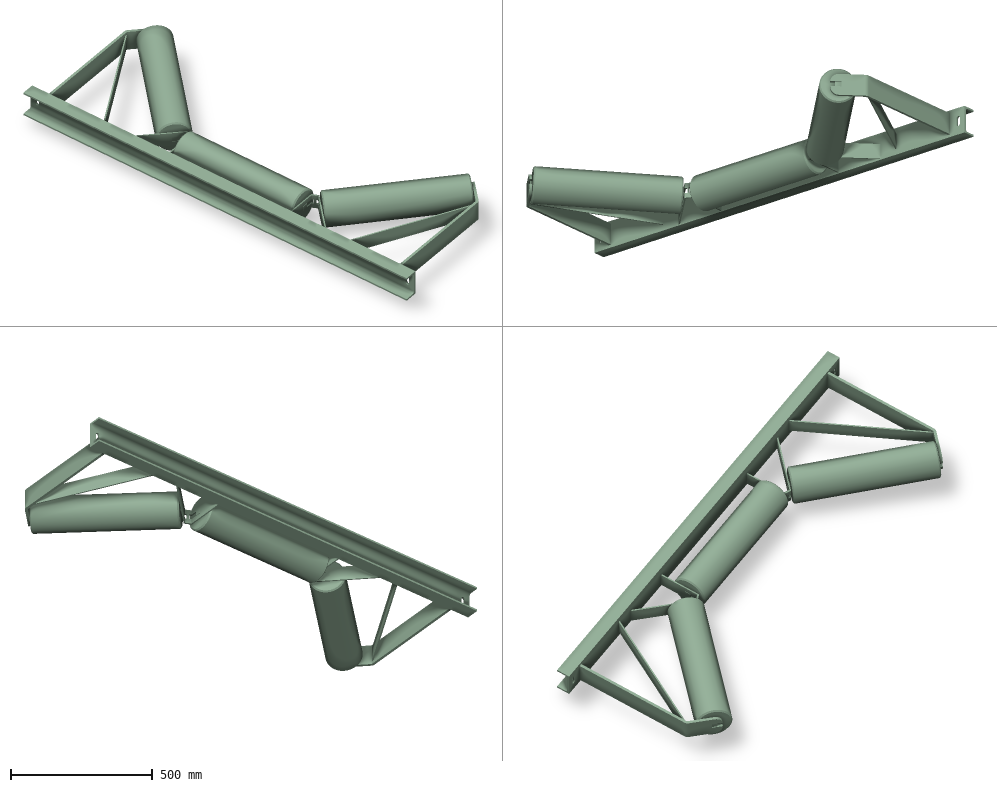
import cadquery as cq
import math

beam_length = 1700.0
beam_depth = 51.0
beam_height = 102.0
web_thickness = 8.0
flange_thickness = 7.0
beam_fillet = 8.0
mount_slot_length = 37.0
mount_slot_width = 15.0
mount_slot_inset = 29.0

roller_diameter = 133.0
roller_length = 530.0
roller_chamfer = 5.0
trough_angle = 45
centre_axis_y = 165.0
side_inner_x = 328.0
side_inner_y = 194.0
inner_axis_z = -19.0
outer_axis_z = 2.0

shaft_width = 19.0
shaft_height = 22.0
shaft_overhang = 8.0
slot_overrun = 15.0

inner_plate_thickness = 5.0
upright_gap = 2.0
sloping_plate_gap = 5.0
inner_plate_reach = 45.0
inner_plate_width = 56.0

outer_plate_thickness = 10.0
outer_plate_gap = 2.0
outer_plate_reach = 29.0
outer_plate_width = 80.0
outer_corner_radius = 30.0
knee_outer_radius = 19.0
post_outer_x = 784.0
brace_thickness = 5.0
brace_width = 56.0
brace_foot_x = 532.0

slope = math.radians(trough_angle)
along = cq.Vector(math.cos(slope), math.sin(slope), 0)
across = cq.Vector(-math.sin(slope), math.cos(slope), 0)
upward = cq.Vector(0, 0, 1)
half_roller = roller_length / 2
side_inner_point = cq.Vector(side_inner_x, side_inner_y, 0)
tilt = math.asin((outer_axis_z - inner_axis_z) / roller_length)
side_axis = along * math.cos(tilt) + upward * math.sin(tilt)

centre_plane = cq.Plane((-half_roller, centre_axis_y, inner_axis_z), xDir=(0, 0, -1), normal=(1, 0, 0))
side_plane = cq.Plane(
    side_inner_point + upward * inner_axis_z,
    xDir=across.cross(side_axis),
    normal=side_axis,
)


def shaft_bar(plane, overrun, bottom, top):
    """Bar as wide as a shaft, past both roller ends, spanning the given heights in local Y."""
    return (
        cq.Workplane(plane)
        .workplane(offset=-overrun)
        .center(0, (bottom + top) / 2)
        .rect(shaft_width, top - bottom)
        .extrude(roller_length + 2 * overrun)
    )


def make_shaft(plane):
    return shaft_bar(plane, shaft_overhang, -shaft_height / 2, shaft_height / 2)


def make_slot_cutter(plane):
    """Space from the underside of a shaft out through the bracket tips at both ends."""
    return shaft_bar(plane, slot_overrun, -shaft_height / 2, roller_diameter / 2)


def make_roller(plane):
    """Solid roller with chamfered rims and a through bore that fits its shaft."""
    drum = cq.Workplane(plane).circle(roller_diameter / 2).extrude(roller_length)
    return drum.faces("%PLANE").edges().chamfer(roller_chamfer).cut(make_shaft(plane))


def mirrored(body):
    return body.mirror("YZ")


def make_plate(outline, width, z_middle):
    """Plate whose edge-on outline lies in XY, extruded evenly about a Z height."""
    return (
        cq.Workplane("XY", origin=(0, 0, z_middle - width / 2))
        .polyline([(point.x, point.y) for point in outline])
        .close()
        .extrude(width)
    )


def beam_point(point, direction):
    """Where a line through a point meets the back of the beam."""
    return point + direction * ((beam_depth - point.y) / direction.y)


def make_channel():
    beam = cq.Workplane("XY").box(beam_length, beam_depth, beam_height, centered=(True, False, True))
    hollow_height = beam_height - 2 * flange_thickness
    hollow = (
        cq.Workplane("XY")
        .box(beam_length, beam_depth - web_thickness, hollow_height, centered=(True, False, True))
        .edges("|X and >Y")
        .fillet(beam_fillet)
    )
    slot_x = beam_length / 2 - mount_slot_inset
    mount_slots = (
        cq.Workplane("XZ")
        .pushPoints([(-slot_x, 0), (slot_x, 0)])
        .slot2D(mount_slot_length, mount_slot_width, 90)
        .extrude(-beam_depth)
    )
    return beam.cut(hollow).cut(mount_slots)


def make_inner_bracket():
    """Upright and sloping plates, joined by a short link between their tops."""
    thickness = inner_plate_thickness
    near_x = half_roller + upright_gap
    far_x = near_x + thickness
    upright_top_y = centre_axis_y + inner_plate_reach
    slope_top = side_inner_point - along * sloping_plate_gap + across * inner_plate_reach
    slope_top_under = slope_top - along * thickness
    outline = [
        cq.Vector(near_x, beam_depth),
        cq.Vector(near_x, upright_top_y),
        slope_top,
        beam_point(slope_top, across),
        beam_point(slope_top_under, across),
        slope_top_under - across * thickness,
        cq.Vector(far_x, upright_top_y - thickness),
        cq.Vector(far_x, beam_depth),
    ]
    return make_plate(outline, inner_plate_width, inner_axis_z)


def make_outer_bracket():
    """Post bent inwards at the top into a rounded arm, with a diagonal brace."""
    thickness = outer_plate_thickness
    tip = side_inner_point + along * (roller_length + outer_plate_gap) + across * outer_plate_reach
    tip_outer = tip + along * thickness
    post_inner_x = post_outer_x - thickness
    knee_inner = tip + across * ((post_inner_x - tip.x) / across.x)
    knee_outer = tip_outer + across * ((post_outer_x - tip_outer.x) / across.x)
    outline = [
        cq.Vector(post_inner_x, beam_depth),
        knee_inner,
        tip,
        tip_outer,
        knee_outer,
        cq.Vector(post_outer_x, beam_depth),
    ]
    bent_plate = (
        make_plate(outline, outer_plate_width, 0)
        .edges(cq.selectors.ParallelDirSelector(along))
        .fillet(outer_corner_radius)
        .edges(cq.selectors.NearestToPointSelector(knee_outer.toTuple()))
        .fillet(knee_outer_radius)
        .edges(cq.selectors.NearestToPointSelector(knee_inner.toTuple()))
        .fillet(knee_outer_radius - thickness)
    )
    brace_foot = cq.Vector(brace_foot_x, beam_depth)
    brace_run = knee_inner - brace_foot
    brace_foot_width = cq.Vector(brace_thickness * brace_run.Length / brace_run.y, 0)
    brace_outline = [brace_foot, knee_inner, knee_inner + brace_foot_width, brace_foot + brace_foot_width]
    return bent_plate.union(make_plate(brace_outline, brace_width, 0))


def make_frame():
    """Welded frame: the channel with both pairs of brackets, slotted for the shafts."""
    frame = make_channel()
    for bracket in (make_inner_bracket(), make_outer_bracket()):
        frame = frame.union(bracket).union(mirrored(bracket))
    side_cutter = make_slot_cutter(side_plane)
    for cutter in (make_slot_cutter(centre_plane), side_cutter, mirrored(side_cutter)):
        frame = frame.cut(cutter)
    return frame


frame = make_frame()
rollers = []
shafts = []
for make_body, bodies in ((make_roller, rollers), (make_shaft, shafts)):
    side_body = make_body(side_plane)
    bodies.extend([make_body(centre_plane), side_body, mirrored(side_body)])

result = cq.Compound.makeCompound([frame.val(), *[body.val() for body in rollers + shafts]])